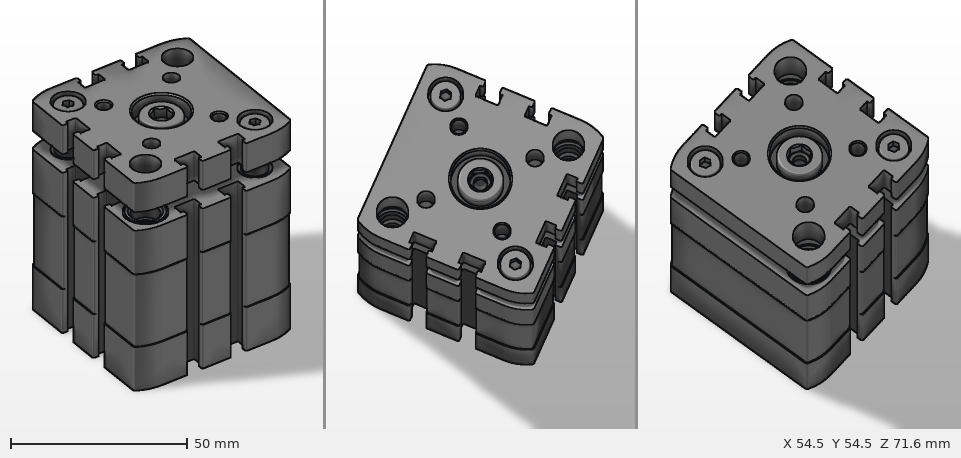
import cadquery as cq
import math

total_height = 71.6
width = 54.5
half_width = width / 2

cap_height = 15.05
barrel_top = 40.0
body_top = 55.2
plate_thickness = 10.0
plate_bottom = total_height - plate_thickness
barrel_inset = 0.32

corner_arc_radius = 16.05
corner_arc_start = 19.05
corner_fillet = 1.0

slot_offset = 7.6
slot_depth = 5.4
slot_lip = 2.1
slot_neck_width = 5.0
slot_cavity_width = 7.0
slot_mouth_fillet = 0.5
slot_lip_fillet = 0.35
slot_floor_fillet = 0.35

corner_offset = 19.0
guide_points = [(corner_offset, corner_offset), (-corner_offset, -corner_offset)]
mount_points = [(-corner_offset, corner_offset), (corner_offset, -corner_offset)]

guide_diameter = 8.0
rod_bore_depth = 15.05
rod_bottom = body_top - rod_bore_depth
seal_recess_diameter = 10.0
seal_recess_depth = 0.3

screw_bore_diameter = 10.0
screw_bore_depth = 5.7
screw_head_diameter = 8.5
screw_head_fillet = 0.4
screw_head_drop = 0.7
screw_hex_flats = 3.0
screw_hex_depth = 2.5
screw_hex_turn = 15.0

rod_diameter = 12.0
rod_flats_width = 10.0
rod_flats_bottom = 57.1

centre_bore_diameter = 17.0
centre_bore_chamfer = 0.5
centre_bore_depth = 5.4
rod_end_diameter = 13.0
rod_end_fillet = 0.85
rod_end_drop = 1.0
rod_hex_flats = 6.0
rod_hex_depth = 3.45
rod_hex_countersink = 7.15
rod_hole_diameter = 4.0
rod_hole_depth = 2.85
drill_point_angle = 118.0

access_hole_diameter = 9.0
small_hole_offset = 11.75
dowel_hole_diameter = 5.0
thread_hole_diameter = 4.15
thread_hole_chamfer = 0.4
dowel_points = [(-small_hole_offset, small_hole_offset), (small_hole_offset, -small_hole_offset)]
thread_points = [(small_hole_offset, small_hole_offset), (-small_hole_offset, -small_hole_offset)]

mount_hole_diameter = 5.0
mount_hole_chamfer = 0.61
mount_bore_diameter = 8.6
mount_bore_depth = 5.1
mount_bore_chamfer = 0.7
groove_diameter = 13.0
sleeve_diameter = 12.8
sleeve_top_diameter = 11.9


def cylinder(diameter, bottom, top, points=((0, 0),)):
    centres = cq.Workplane("XY", origin=(0, 0, bottom)).pushPoints(points)
    return centres.circle(diameter / 2).extrude(top - bottom)


def cone(bottom_diameter, top_diameter, bottom, height, point=(0, 0)):
    base = cq.Vector(*point, bottom)
    return cq.Workplane(cq.Solid.makeCone(bottom_diameter / 2, top_diameter / 2, height, base))


def hex_prism(flats, bottom, top, turn=0.0, point=(0, 0)):
    across_corners = flats / math.cos(math.pi / 6)
    prism = cq.Workplane("XY").polygon(6, across_corners).extrude(top - bottom)
    return prism.rotate((0, 0, 0), (0, 0, 1), turn).translate((*point, bottom))


def outline_block(bottom, top, inset=0.0):
    """Square block whose left and right sides curve inward towards the corners."""
    half = half_width - inset
    radius = corner_arc_radius - inset
    centre_x = half - radius
    sweep = math.asin((half - corner_arc_start) / radius)
    end_x = centre_x + radius * math.cos(sweep)
    mid_x = centre_x + radius * math.cos(sweep / 2)
    mid_y = corner_arc_start + radius * math.sin(sweep / 2)
    block = (
        cq.Workplane("XY", origin=(0, 0, bottom))
        .moveTo(half, -corner_arc_start)
        .lineTo(half, corner_arc_start)
        .threePointArc((mid_x, mid_y), (end_x, half))
        .lineTo(-end_x, half)
        .threePointArc((-mid_x, mid_y), (-half, corner_arc_start))
        .lineTo(-half, -corner_arc_start)
        .threePointArc((-mid_x, -mid_y), (-end_x, -half))
        .lineTo(end_x, -half)
        .threePointArc((mid_x, -mid_y), (half, -corner_arc_start))
        .close()
        .extrude(top - bottom)
    )
    corner_edges = block.faces(">Y or <Y").edges("|Z")
    return corner_edges.fillet(corner_fillet)


def slot_cutter(bottom, top, inset):
    """One T-slot that opens towards -Y, centred on X = 0."""
    neck = slot_neck_width / 2
    cavity = slot_cavity_width / 2
    face_y = -half_width + inset
    lip_y = -half_width + slot_lip
    floor_y = -half_width + slot_depth
    arc_gap = 1 - math.sqrt(0.5)
    mouth_gap = arc_gap * slot_mouth_fillet
    lip_gap = arc_gap * slot_lip_fillet
    half_cutter = (
        cq.Workplane("XY", origin=(0, 0, bottom))
        .moveTo(0, face_y)
        .lineTo(neck + slot_mouth_fillet, face_y)
        .threePointArc((neck + mouth_gap, face_y + mouth_gap), (neck, face_y + slot_mouth_fillet))
        .lineTo(neck, lip_y - slot_lip_fillet)
        .threePointArc((neck + lip_gap, lip_y - lip_gap), (neck + slot_lip_fillet, lip_y))
        .lineTo(cavity, lip_y)
        .lineTo(cavity, floor_y)
        .lineTo(0, floor_y)
        .close()
        .extrude(top - bottom)
    )
    cutter = half_cutter.union(half_cutter.mirror("YZ"))
    return cutter.faces(">Y").edges("|Z").fillet(slot_floor_fillet)


def slotted_block(bottom, top, inset=0.0):
    """Outline block with two T-slots on the front, left and right sides."""
    block = outline_block(bottom, top, inset)
    cutter = slot_cutter(bottom, top, inset)
    for side_turn in (-90, 0, 90):
        for offset in (-slot_offset, slot_offset):
            slot = cutter.translate((offset, 0, 0)).rotate((0, 0, 0), (0, 0, 1), side_turn)
            block = block.cut(slot)
    return block


def mount_hole_cutter(point):
    """Through hole with a chamfered counterbore and a ring groove around its entry."""
    bore_floor = body_top - mount_bore_depth
    through = cylinder(mount_hole_diameter, 0, body_top, [point])
    floor_chamfer = cone(
        mount_hole_diameter, mount_hole_diameter + 2 * mount_hole_chamfer,
        bore_floor - mount_hole_chamfer, mount_hole_chamfer, point,
    )
    bore = cylinder(mount_bore_diameter, bore_floor, body_top, [point])
    entry = cone(
        mount_bore_diameter, mount_bore_diameter + 2 * mount_bore_chamfer,
        body_top - mount_bore_chamfer, mount_bore_chamfer, point,
    )
    groove_depth = (sleeve_diameter - sleeve_top_diameter) / 2
    groove_floor = body_top - groove_depth
    sleeve = cone(sleeve_diameter, sleeve_top_diameter, groove_floor, groove_depth, point)
    groove = cylinder(groove_diameter, groove_floor, body_top, [point]).cut(sleeve)
    return through.union(floor_chamfer).union(bore).union(entry).union(groove)


def make_cylinder_body():
    body = slotted_block(0, cap_height)
    body = body.union(slotted_block(cap_height, barrel_top, barrel_inset))
    body = body.union(slotted_block(barrel_top, body_top))
    body = body.cut(cylinder(rod_diameter, rod_bottom, body_top))
    body = body.cut(cylinder(guide_diameter, rod_bottom, body_top, guide_points))
    body = body.cut(cylinder(seal_recess_diameter, body_top - seal_recess_depth, body_top, guide_points))
    for point in mount_points:
        body = body.cut(mount_hole_cutter(point))
    return body


def make_plate():
    plate = slotted_block(plate_bottom, total_height)
    plate = plate.cut(cylinder(access_hole_diameter, plate_bottom, total_height, mount_points))
    plate = plate.cut(cylinder(dowel_hole_diameter, plate_bottom, total_height, dowel_points))
    plate = plate.cut(cylinder(thread_hole_diameter, plate_bottom, total_height, thread_points))
    for point in thread_points:
        plate = plate.cut(
            cone(
                thread_hole_diameter, thread_hole_diameter + 2 * thread_hole_chamfer,
                total_height - thread_hole_chamfer, thread_hole_chamfer, point,
            )
        )
    screw_bore_floor = total_height - screw_bore_depth
    plate = plate.cut(cylinder(screw_bore_diameter, screw_bore_floor, total_height, guide_points))
    plate = plate.cut(cylinder(rod_diameter, plate_bottom, total_height))
    plate = plate.cut(cylinder(centre_bore_diameter, total_height - centre_bore_depth, total_height))
    return plate.cut(
        cone(
            centre_bore_diameter, centre_bore_diameter + 2 * centre_bore_chamfer,
            total_height - centre_bore_chamfer, centre_bore_chamfer,
        )
    )


def make_guide_rod(point):
    """Guide rod with the socket screw head that fixes it to the plate."""
    head_bottom = total_height - screw_bore_depth
    head_top = total_height - screw_head_drop
    head = cylinder(screw_head_diameter, head_bottom, head_top, [point])
    head = head.faces(">Z").edges().fillet(screw_head_fillet)
    head = head.cut(hex_prism(screw_hex_flats, head_top - screw_hex_depth, head_top, screw_hex_turn, point))
    return cylinder(guide_diameter, rod_bottom, head_bottom, [point]).union(head)


def flat_cutter():
    """Wrench flat on the -Y side of the piston rod, running out on a 45 degree slope."""
    flat_y = -rod_flats_width / 2
    outer_y = -rod_diameter / 2
    slope = flat_y - outer_y
    profile = [
        (flat_y, plate_bottom),
        (flat_y, rod_flats_bottom),
        (outer_y, rod_flats_bottom - slope),
        (outer_y, plate_bottom),
    ]
    return cq.Workplane("YZ").polyline(profile).close().extrude(rod_diameter / 2, both=True)


def make_rod_socket(rod_top):
    """Hexagon socket with a countersunk entry and a drilled hole in its floor."""
    hex_floor = rod_top - rod_hex_depth
    hole_floor = hex_floor - rod_hole_depth
    drill_slope = math.tan(math.radians(drill_point_angle / 2))
    countersink_depth = (rod_hex_countersink - rod_hex_flats) / 2
    floor_cone_depth = (rod_hex_flats - rod_hole_diameter) / 2 / drill_slope
    tip_depth = rod_hole_diameter / 2 / drill_slope
    socket = hex_prism(rod_hex_flats, hex_floor, rod_top)
    socket = socket.union(
        cone(rod_hex_flats, rod_hex_countersink, rod_top - countersink_depth, countersink_depth)
    )
    hole_radius = rod_hole_diameter / 2
    drilled_profile = [
        (0, hex_floor),
        (rod_hex_flats / 2, hex_floor),
        (hole_radius, hex_floor - floor_cone_depth),
        (hole_radius, hole_floor),
        (0, hole_floor - tip_depth),
    ]
    drilled_hole = cq.Workplane("XZ").polyline(drilled_profile).close().revolve(360, (0, 0), (0, 1))
    return socket.union(drilled_hole)


def make_piston_rod():
    end_bottom = total_height - centre_bore_depth
    rod_top = total_height - rod_end_drop
    rod = cylinder(rod_diameter, rod_bottom, end_bottom)
    flat = flat_cutter()
    rod = rod.cut(flat).cut(flat.mirror("XZ"))
    rod_end = cylinder(rod_end_diameter, end_bottom, rod_top).faces(">Z").edges().fillet(rod_end_fillet)
    return rod.union(rod_end).cut(make_rod_socket(rod_top))


def make_moving_unit():
    """Plate, piston rod and guide rods, which move together as one body."""
    unit = make_plate()
    for point in guide_points:
        unit = unit.union(make_guide_rod(point))
    return unit.union(make_piston_rod())


cylinder_body = make_cylinder_body()
moving_unit = make_moving_unit()

result = cq.Compound.makeCompound([cylinder_body.val(), moving_unit.val()])